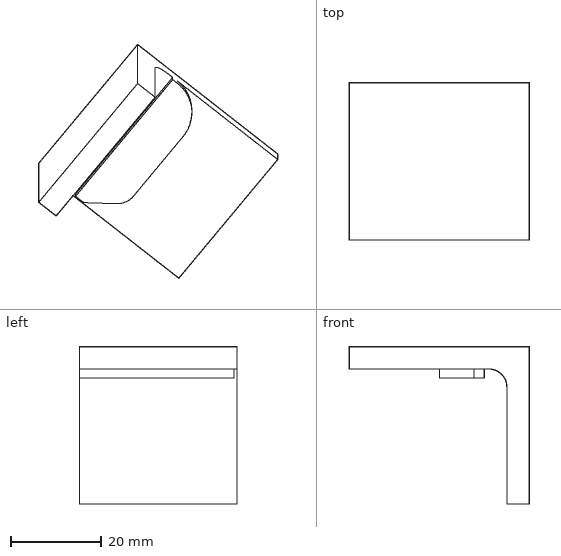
import cadquery as cq
import math

length = 40.0
width = 35.0
height = 35.0
plate_thickness = 5.0
inner_radius = 4.0

pad_depth = 2.0
pad_left = 20.0
pad_right = 30.0
pad_front = 0.65
pad_back = width
bevel_start_x = 27.7
front_corner_radius = 4.6
bevel_normal_angle = math.atan2(4, 3)
back_corner_radius = 8.65


def make_bracket():
    """L-shaped plate with a rounded inside corner."""
    plate_underside = height - plate_thickness
    upright_face = length - plate_thickness
    profile = (
        cq.Workplane("XZ")
        .moveTo(0, height)
        .lineTo(length, height)
        .lineTo(length, 0)
        .lineTo(upright_face, 0)
        .lineTo(upright_face, plate_underside - inner_radius)
        .radiusArc((upright_face - inner_radius, plate_underside), -inner_radius)
        .lineTo(0, plate_underside)
        .close()
    )
    return profile.extrude(-width)


def make_pad():
    """Pad with a bevelled, blended front corner and a round back corner."""
    def front_arc_point(angle, center_y):
        return (
            pad_left + front_corner_radius * (1 - math.cos(angle)),
            center_y - front_corner_radius * math.sin(angle),
        )

    bevel_end_x = front_arc_point(bevel_normal_angle, 0)[0]
    bevel_end_y = pad_front + (bevel_start_x - bevel_end_x) / math.tan(bevel_normal_angle)
    arc_center_y = bevel_end_y + front_corner_radius * math.sin(bevel_normal_angle)

    back_center_y = pad_back - back_corner_radius
    back_arc_middle = (
        pad_left + back_corner_radius * (1 - math.sqrt(0.5)),
        back_center_y + back_corner_radius * math.sqrt(0.5),
    )
    outline = (
        cq.Workplane("XY", origin=(0, 0, height - plate_thickness - pad_depth))
        .moveTo(pad_right, pad_front)
        .lineTo(bevel_start_x, pad_front)
        .lineTo(bevel_end_x, bevel_end_y)
        .threePointArc(front_arc_point(bevel_normal_angle / 2, arc_center_y), (pad_left, arc_center_y))
        .lineTo(pad_left, back_center_y)
        .threePointArc(back_arc_middle, (pad_left + back_corner_radius, pad_back))
        .lineTo(pad_right, pad_back)
        .close()
    )
    return outline.extrude(pad_depth)


result = make_bracket().union(make_pad())